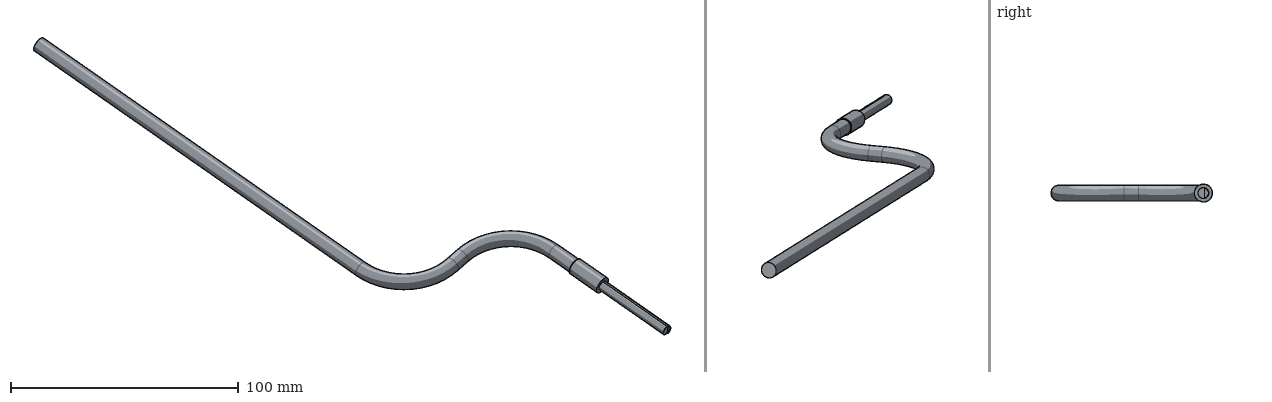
import cadquery as cq
import math

overall_length = 312.57
overall_width = 70.95

cable_diameter = 7.0
sleeve_diameter = 7.92
lead_diameter = 4.75

first_run = 188.8
middle_run = 6.4
sleeve_start = 258.3
sleeve_end = 274.4

lead_wall = 0.2
core_flat_offset = 0.4
core_protrusion = 0.5

axis_offset = overall_width - cable_diameter / 2 - sleeve_diameter / 2
bend_radius = (axis_offset - middle_run) / 2
middle_x = first_run + bend_radius
second_bend_end = middle_x + bend_radius
lead_end = overall_length - core_protrusion


def section_on_sleeve_axis(x_start):
    """Workplane square to the sleeve axis, with local x along +Y and local y along +Z."""
    return cq.Workplane("YZ", origin=(x_start, axis_offset, 0))


def cylinder_on_sleeve_axis(x_start, x_end, diameter):
    return section_on_sleeve_axis(x_start).circle(diameter / 2).extrude(x_end - x_start)


def make_cable():
    """Round cable: straight run, quarter bend, short run, opposite bend, straight end."""
    path = (
        cq.Workplane("XY")
        .lineTo(first_run, 0)
        .radiusArc((middle_x, bend_radius), -bend_radius)
        .lineTo(middle_x, bend_radius + middle_run)
        .radiusArc((second_bend_end, axis_offset), bend_radius)
        .lineTo(sleeve_start, axis_offset)
    )
    return cq.Workplane("YZ").circle(cable_diameter / 2).sweep(path)


def make_sleeve():
    return cylinder_on_sleeve_axis(sleeve_start, sleeve_end, sleeve_diameter)


def make_core():
    """Half-round bar on the +Y side of the lead, standing a little out of its end."""
    core_radius = lead_diameter / 2 - lead_wall
    flat_half_height = math.sqrt(core_radius**2 - core_flat_offset**2)
    return (
        section_on_sleeve_axis(sleeve_end)
        .moveTo(core_flat_offset, -flat_half_height)
        .threePointArc((core_radius, 0), (core_flat_offset, flat_half_height))
        .close()
        .extrude(overall_length - sleeve_end)
    )


def make_lead(core_body):
    """Round lead with a recess that matches the core."""
    return cylinder_on_sleeve_axis(sleeve_end, lead_end, lead_diameter).cut(core_body).solids()


cable = make_cable()
sleeve = make_sleeve()
core = make_core()
lead = make_lead(core)

result = cq.Compound.makeCompound([cable.val(), sleeve.val(), lead.val(), core.val()])